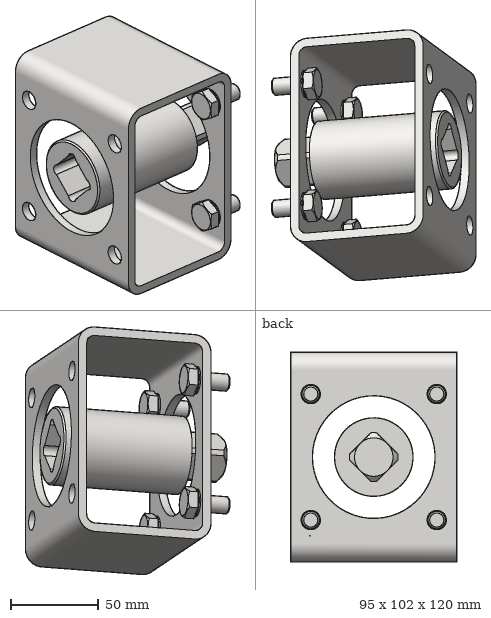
import cadquery as cq
import math

frame_length = 95.0
frame_height = 120.0
frame_depth = 80.0
wall = 5.0
outer_corner_radius = 10.0
inner_corner_radius = outer_corner_radius - wall
window_diameter = 70.0
bolt_spacing = 72.0
bolt_hole_diameter = 11.0
front_y = -frame_depth / 2
rear_y = frame_depth / 2
rear_inner_y = rear_y - wall

drive_protrusion = 22.0
drive_length = 25.0
body_diameter = 45.0
body_chamfer = 1.0
drive_end_y = rear_y + drive_protrusion
body_rear_y = drive_end_y - drive_length
drive_across_flats = 22.0
drive_corner_diameter = 28.0
drive_chamfer = (drive_corner_diameter - drive_across_flats) / 2
socket_across_flats = 22.5
socket_depth = drive_length
socket_flat_length = 14.0
relief_tip_distance = 15.4

washer_outer_diameter = 16.0
washer_inner_diameter = 10.5
washer_thickness = 0.8
collar_diameter = 14.6
collar_thickness = 0.7
head_across_flats = 16.2
head_corner_diameter = head_across_flats / math.cos(math.pi / 6)
head_thickness = 6.1
head_face_diameter = 15.6
head_chamfer_angle = math.radians(30)
head_chamfer = (head_corner_diameter - head_face_diameter) / 2
head_chamfer_height = head_chamfer * math.tan(head_chamfer_angle)
shank_diameter = 10.0
shank_protrusion = 14.0
shank_tip_chamfer = 1.0
collar_seat_y = rear_inner_y - washer_thickness
head_seat_y = collar_seat_y - collar_thickness
shank_length = rear_y + shank_protrusion - head_seat_y


def plane_at(y, x=0.0, z=0.0):
    """Workplane facing +Y with its origin at (x, y, z)."""
    return cq.Workplane(cq.Plane(origin=(x, y, z), xDir=(1, 0, 0), normal=(0, 1, 0)))


def make_frame():
    tube = cq.Workplane("XY").box(frame_length, frame_depth, frame_height)
    tube = tube.edges("|X").fillet(outer_corner_radius)
    opening = cq.Workplane("XY").box(frame_length, frame_depth - 2 * wall, frame_height - 2 * wall)
    opening = opening.edges("|X").fillet(inner_corner_radius)
    window = plane_at(front_y).circle(window_diameter / 2).extrude(frame_depth)
    bolt_holes = (
        plane_at(front_y)
        .rect(bolt_spacing, bolt_spacing, forConstruction=True)
        .vertices()
        .circle(bolt_hole_diameter / 2)
        .extrude(frame_depth)
    )
    return tube.cut(opening).cut(window).cut(bolt_holes)


def make_square_drive():
    """Square bar standing on its corner, with turned corners and a conical end."""
    bar = (
        plane_at(body_rear_y)
        .transformed(rotate=(0, 0, 45))
        .rect(drive_across_flats, drive_across_flats)
        .extrude(drive_length)
    )
    turned = plane_at(body_rear_y).circle(drive_corner_diameter / 2).extrude(drive_length)
    turned = turned.faces(">Y").chamfer(drive_chamfer)
    return bar.intersect(turned)


def make_socket():
    """Square recess standing on its corner, with a round relief in each corner."""
    side = socket_across_flats / 2
    flat_end = socket_flat_length / 2
    relief = relief_tip_distance / math.sqrt(2)
    return (
        plane_at(front_y)
        .transformed(rotate=(0, 0, 45))
        .moveTo(side, -flat_end)
        .lineTo(side, flat_end)
        .threePointArc((relief, relief), (flat_end, side))
        .lineTo(-flat_end, side)
        .threePointArc((-relief, relief), (-side, flat_end))
        .lineTo(-side, -flat_end)
        .threePointArc((-relief, -relief), (-flat_end, -side))
        .lineTo(flat_end, -side)
        .threePointArc((relief, -relief), (side, -flat_end))
        .close()
        .extrude(socket_depth)
    )


def make_drive_shaft():
    body = plane_at(front_y).circle(body_diameter / 2).extrude(body_rear_y - front_y)
    body = body.faces("<Y").chamfer(body_chamfer)
    return body.union(make_square_drive()).cut(make_socket())


def make_washer(x, z):
    return (
        plane_at(collar_seat_y, x, z)
        .circle(washer_outer_diameter / 2)
        .circle(washer_inner_diameter / 2)
        .extrude(washer_thickness)
    )


def make_bolt(x, z):
    head_top = plane_at(head_seat_y - head_thickness, x, z)
    hexagon = head_top.transformed(rotate=(0, 0, 30)).polygon(6, head_corner_diameter).extrude(head_thickness)
    rounding = head_top.circle(head_corner_diameter / 2).extrude(head_thickness)
    rounding = rounding.faces("<Y").chamfer(head_chamfer_height, head_chamfer)
    collar = plane_at(head_seat_y, x, z).circle(collar_diameter / 2).extrude(collar_thickness)
    shank = plane_at(head_seat_y, x, z).circle(shank_diameter / 2).extrude(shank_length)
    shank = shank.faces(">Y").chamfer(shank_tip_chamfer)
    return hexagon.intersect(rounding).union(collar).union(shank)


frame = make_frame()
drive_shaft = make_drive_shaft()

washers = []
bolts = []
for x in (-bolt_spacing / 2, bolt_spacing / 2):
    for z in (-bolt_spacing / 2, bolt_spacing / 2):
        washers.append(make_washer(x, z).val())
        bolts.append(make_bolt(x, z).val())

result = cq.Compound.makeCompound([frame.val(), drive_shaft.val(), *washers, *bolts])